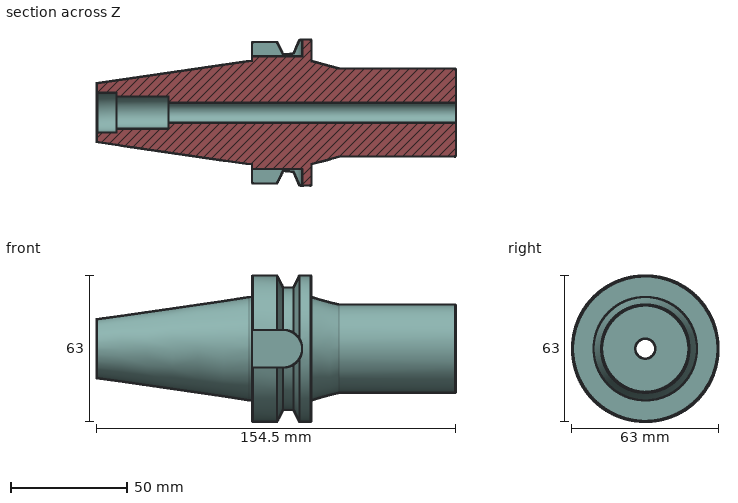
import cadquery as cq

length = 154.5
taper_end = 65.5
flange_start = 66.7
flange_end = 92.3
shoulder_end = 104.2

gauge_diameter = 44.5
flange_diameter = 63.0
shank_diameter = 38.0
taper_ratio = 7 / 24
edge_chamfer = 0.5

groove_diameter = 52.8
groove_start = 77.5
groove_end = 87.1
groove_floor_start = 80.1
groove_floor_end = 84.6

slot_width = 16.2
slot_floor = 24.2
slot_end = 88.3

mouth_diameter = 17.0
mouth_chamfer = 0.5
mouth_depth = 8.5
thread_diameter = 13.7
thread_depth = 30.9
through_diameter = 8.5


def make_body():
    """Revolve the taper, the grooved flange and the shank about X."""
    gauge_radius = gauge_diameter / 2
    flange_radius = flange_diameter / 2
    groove_radius = groove_diameter / 2
    shank_radius = shank_diameter / 2
    nose_radius = (gauge_diameter - taper_ratio * taper_end) / 2
    profile = [
        (0, 0),
        (0, nose_radius),
        (taper_end, gauge_radius),
        (flange_start, gauge_radius),
        (flange_start, flange_radius - edge_chamfer),
        (flange_start + edge_chamfer, flange_radius),
        (groove_start, flange_radius),
        (groove_floor_start, groove_radius),
        (groove_floor_end, groove_radius),
        (groove_end, flange_radius),
        (flange_end - edge_chamfer, flange_radius),
        (flange_end, flange_radius - edge_chamfer),
        (flange_end, gauge_radius),
        (shoulder_end, shank_radius),
        (length - edge_chamfer, shank_radius),
        (length, shank_radius - edge_chamfer),
        (length, 0),
    ]
    return cq.Workplane("XY").polyline(profile).close().revolve(360, (0, 0, 0), (1, 0, 0))


def make_drive_slot(side):
    """Round-ended cutter for one drive slot; side is -1 or +1 along Y."""
    half_width = slot_width / 2
    arc_center = slot_end - half_width
    return (
        cq.Workplane("XZ", origin=(0, side * slot_floor, 0))
        .moveTo(flange_start, -half_width)
        .lineTo(arc_center, -half_width)
        .threePointArc((slot_end, 0), (arc_center, half_width))
        .lineTo(flange_start, half_width)
        .close()
        .extrude(-side * flange_diameter / 2)
    )


def make_bore():
    """Stepped cutter: chamfered mouth, threaded section and through hole."""
    mouth_radius = mouth_diameter / 2
    thread_radius = thread_diameter / 2
    through_radius = through_diameter / 2
    profile = [
        (0, 0),
        (0, mouth_radius + mouth_chamfer),
        (mouth_chamfer, mouth_radius),
        (mouth_depth, mouth_radius),
        (mouth_depth, thread_radius),
        (thread_depth, thread_radius),
        (thread_depth, through_radius),
        (length, through_radius),
        (length, 0),
    ]
    return cq.Workplane("XY").polyline(profile).close().revolve(360, (0, 0, 0), (1, 0, 0))


result = make_body().cut(make_bore())
for side in (-1, 1):
    result = result.cut(make_drive_slot(side))